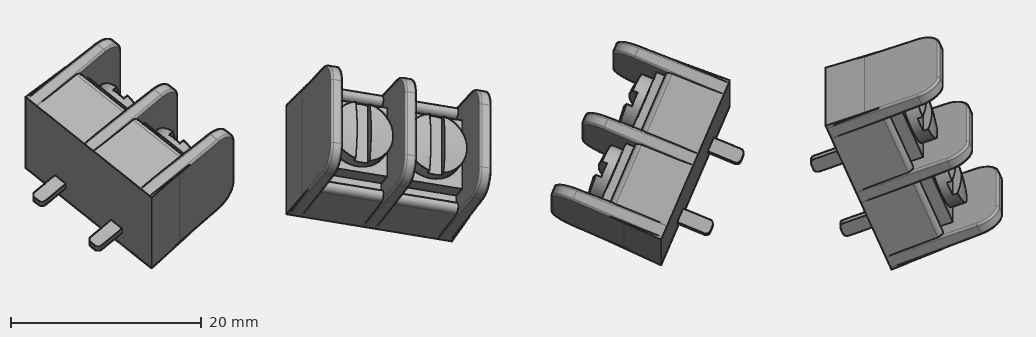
import cadquery as cq
import math

BODY_WIDTH = 18.54
BODY_HEIGHT = 12.7
POLE_PITCH = 8.255
POLE_CENTRES = (-POLE_PITCH / 2, POLE_PITCH / 2)

BASE_FRONT = 5.9
BASE_SIDE_DRAFT = 2.0
BASE_TOP_DRAFT = 1.8
LIP_RADIUS = 0.65

WALL_DEPTH = 12.7
WALL_THICKNESS = 1.76
WALL_PITCH = 8.315
MIDDLE_WALL_X = 0.04
WALL_DRAFT = 1.0
WALL_CORNER_RADIUS = 2.5
WALL_EDGE_RADIUS = 0.25

PLATE_FRONT = 7.62
PLATE_HEIGHT = 8.0
PLATE_WIDTH = WALL_PITCH - WALL_THICKNESS / 2

HEAD_DIAMETER = 6.78
HEAD_RIM = 9.22
HEAD_CROWN = 9.65
SLOT_WIDTH = 1.57
SLOT_FLOOR = 8.66

PIN_WIDTH = 1.6
PIN_THICKNESS = 0.8
PIN_LENGTH = 3.56
PIN_TIP_RADIUS = 0.5
PIN_HEIGHT_ABOVE_BOTTOM = 2.54
PIN_Z = PIN_HEIGHT_ABOVE_BOTTOM - BODY_HEIGHT / 2


def drafted_block(width, height, depth, side_draft, top_draft):
    """Rectangular frustum growing along +Y from a rectangle on Y = 0."""
    far_width = width - 2 * depth * math.tan(math.radians(side_draft))
    far_height = height - 2 * depth * math.tan(math.radians(top_draft))
    return (
        cq.Workplane("XZ")
        .rect(width, height)
        .workplane(offset=-depth)
        .rect(far_width, far_height)
        .loft(ruled=True)
    )


def make_base():
    return drafted_block(BODY_WIDTH, BODY_HEIGHT, BASE_FRONT, BASE_SIDE_DRAFT, BASE_TOP_DRAFT)


def make_lip(side):
    """Round bar between the end walls, tangent to the drafted top (side 1) or bottom (side -1)."""
    draft = math.radians(BASE_TOP_DRAFT)
    face_z = BODY_HEIGHT / 2 - BASE_FRONT * math.tan(draft)
    centre_y = BASE_FRONT - LIP_RADIUS * math.sin(draft)
    centre_z = side * (face_z - LIP_RADIUS * math.cos(draft))
    return (
        cq.Workplane("YZ")
        .center(centre_y, centre_z)
        .circle(LIP_RADIUS)
        .extrude(WALL_PITCH, both=True)
    )


def make_wall(x):
    wall = drafted_block(WALL_THICKNESS, BODY_HEIGHT, WALL_DEPTH, WALL_DRAFT, WALL_DRAFT)
    wall = wall.faces(">Y").edges("|X").fillet(WALL_CORNER_RADIUS)
    wall = wall.faces("<X or >X").edges("not <Y").fillet(WALL_EDGE_RADIUS)
    return wall.translate((x, 0, 0))


def make_plate(x):
    plate = cq.Workplane("XY").box(PLATE_WIDTH, PLATE_FRONT, PLATE_HEIGHT, centered=(True, False, True))
    return plate.translate((x, 0, 0))


def make_screw_head(x):
    radius = HEAD_DIAMETER / 2
    crown_height = HEAD_CROWN - HEAD_RIM
    dome_radius = (radius**2 + crown_height**2) / (2 * crown_height)
    half_radius = radius / 2
    dome_mid_y = HEAD_CROWN - dome_radius + math.sqrt(dome_radius**2 - half_radius**2)
    head = (
        cq.Workplane("XY")
        .moveTo(0, 0)
        .lineTo(radius, 0)
        .lineTo(radius, HEAD_RIM)
        .threePointArc((half_radius, dome_mid_y), (0, HEAD_CROWN))
        .close()
        .revolve(360, (0, 0), (0, 1))
    )
    slot = (
        cq.Workplane("XY")
        .box(SLOT_WIDTH, HEAD_CROWN - SLOT_FLOOR, HEAD_DIAMETER, centered=(True, False, True))
        .translate((0, SLOT_FLOOR, 0))
    )
    return head.cut(slot).translate((x, 0, 0))


def make_pin(x):
    pin = cq.Workplane("XY").box(PIN_WIDTH, PIN_LENGTH, PIN_THICKNESS)
    pin = pin.faces("<Y").edges("|Z").fillet(PIN_TIP_RADIUS)
    return pin.translate((x, -PIN_LENGTH / 2, PIN_Z))


result = make_base()
for lip_side in (1, -1):
    result = result.union(make_lip(lip_side))
for pole_x in POLE_CENTRES:
    result = result.union(make_plate(pole_x))
    result = result.union(make_screw_head(pole_x))
    result = result.union(make_pin(pole_x))
for wall_x in (-WALL_PITCH, MIDDLE_WALL_X, WALL_PITCH):
    result = result.union(make_wall(wall_x))